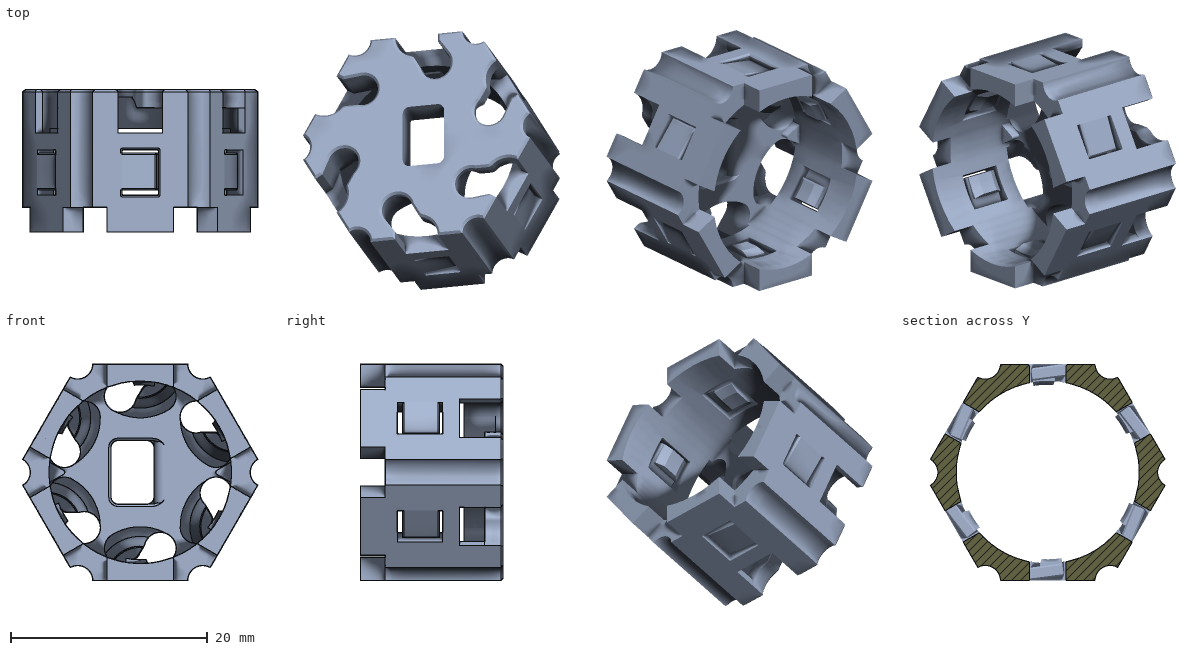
import cadquery as cq
import math

length = 14.5
across_flats = 22.0
scallop_diameter = 3.04
bore_radius = 9.27
floor_thickness = 4.0
edge_chamfer = 0.25
sides = 6
apothem = across_flats / 2
corner_radius = apothem / math.cos(math.pi / sides)
floor_y = length - floor_thickness
margin = 1.2

tooth_height = 2.5
tooth_width = 6.76

slot_half = 2.25
slot_start_y = length - 4.42
pocket_radius = 5.47
pocket_angle = 31.7
ledge_depth = 0.8
tongue_depth = 1.9
tongue_radius = 3.45
tongue_base_radius = 4.5
tongue_edge_offset = 1.53
tongue_slope = 60
cavity_lip_z = 10.15
lip_fillet = 0.72
tongue_chamfer = 0.07
path_radius = (pocket_radius + slot_half) / 2
pocket_end_radius = (pocket_radius - slot_half) / 2

window_half = 1.85
window_start_y = 3.75
window_end_y = 8.36
window_chamfer = 0.2
window_corner = 0.1
tab_start_y = 4.28
tab_end_y = 8.05
tab_length = 3.54
tab_thickness = 1.27
tab_tilt = 7.6
tab_chamfer = 0.17
catch_radius = 8.87
catch_start = -0.76
catch_slope_run = 0.17
catch_back_ramp = 0.72
catch_front_ramp = 0.95
catch_root = 0.48
hinge_overlap = 0.25

hole_left = -2.96
hole_right = 1.39
hole_half_height = 3.23
hole_corner = 0.72
hole_chamfer = 0.25
hole_rounding = 1.03
hole_flare_corner = 1.22

gusset_height = 1.0
gusset_tip_x = 7.43
gusset_tip_fillet = 0.25
gusset_slope = 30
gusset_overlap = 0.25


def section(y):
    """Workplane across the axis at y, with local x = X and local y = Z."""
    return cq.Workplane("XZ", origin=(0, y, 0))


def around(shape, turn):
    return shape.rotate((0, 0, 0), (0, 1, 0), 360 / sides * turn)


def ring():
    body = section(0).polygon(sides, 2 * corner_radius).extrude(-length)
    grooves = section(0).polarArray(corner_radius, 0, 360, sides).circle(scallop_diameter / 2).extrude(-length)
    bore = section(0).circle(bore_radius).extrude(-floor_y)
    body = body.cut(grooves).cut(bore)
    tooth = section(0).center(0, apothem / 2).rect(tooth_width, apothem).extrude(-tooth_height)
    gaps = section(0).circle(corner_radius).extrude(-tooth_height)
    for turn in range(sides):
        gaps = gaps.cut(around(tooth, turn))
    return body.cut(gaps)


def polar(radius, angle):
    """Point at a radius from the pocket axis, angle measured from straight inward."""
    swing = math.radians(angle)
    return (radius * math.sin(swing), apothem - radius * math.cos(swing))


def cavity_flank():
    """Point where the -X flank, falling from the slot wall, is tangent to the pocket's round end."""
    centre = polar(path_radius, -pocket_angle)
    across = -slot_half - centre[0]
    up = cavity_lip_z - centre[1]
    angle = math.atan2(up, across) + math.acos(pocket_end_radius / math.hypot(across, up))
    return (centre[0] + pocket_end_radius * math.cos(angle), centre[1] + pocket_end_radius * math.sin(angle))


def keyhole():
    """Opening through the web: round entry, straight tongue edge, round notch at the face."""
    slope = math.radians(tongue_slope)
    entry = polar(path_radius, -pocket_angle)
    foot = (
        entry[0] + tongue_edge_offset * math.sin(slope),
        entry[1] - tongue_edge_offset * math.cos(slope),
    )
    rise = apothem - foot[1]
    along = foot[0] * math.cos(slope) - rise * math.sin(slope)
    travel = -along - math.sqrt(along**2 - foot[0] ** 2 - rise**2 + slot_half**2)
    lip = (foot[0] + travel * math.cos(slope), foot[1] + travel * math.sin(slope))
    depth = length - floor_y
    flank = cavity_flank()
    throat = (
        section(floor_y)
        .polyline([entry, foot, lip, (0, apothem), (-slot_half, apothem), (-slot_half, cavity_lip_z), flank])
        .close()
        .extrude(-depth)
    )
    notch = section(floor_y).center(0, apothem).circle(slot_half).extrude(-depth)
    hole = section(floor_y).center(*entry).circle(pocket_end_radius).extrude(-depth)
    opening = throat.union(notch)
    opening = opening.edges(cq.selectors.NearestToPointSelector((lip[0], floor_y + depth / 2, lip[1])))
    return opening.fillet(lip_fillet).union(hole)


def locking_tongue(opening):
    """Raised disc with a conical skirt, left standing around the opening."""
    disc = (
        cq.Workplane("XY")
        .polyline([
            (0, length),
            (0, length - tongue_depth),
            (tongue_radius, length - tongue_depth),
            (tongue_base_radius, length - ledge_depth),
            (tongue_base_radius, length),
        ])
        .close()
        .revolve(360, (0, 0, 0), (0, 1, 0))
        .translate((0, 0, apothem))
    )
    return disc.cut(opening).faces("<Y").edges().chamfer(tongue_chamfer)


def lock_pocket():
    """Everything removed at the +Z face for one twist lock."""
    opening = keyhole()
    tongue = locking_tongue(opening)
    depth = floor_thickness - ledge_depth
    left_end = polar(pocket_radius, -pocket_angle)
    right_end = polar(pocket_radius, pocket_angle)
    cavity = (
        section(floor_y)
        .moveTo(*left_end)
        .threePointArc(polar(pocket_radius, 0), right_end)
        .lineTo(*polar(slot_half, pocket_angle))
        .threePointArc(polar(slot_half, 0), polar(slot_half, -pocket_angle))
        .close()
        .extrude(-depth)
    )
    for angle in (-pocket_angle, pocket_angle):
        end = section(floor_y).center(*polar(path_radius, angle)).circle(pocket_end_radius).extrude(-depth)
        cavity = cavity.union(end)
    flank = cavity_flank()
    mouth = (
        section(slot_start_y)
        .polyline([flank, (-slot_half, cavity_lip_z), (slot_half, cavity_lip_z), (-flank[0], flank[1])])
        .close()
        .extrude(slot_start_y - (length - tongue_depth))
    )
    slot_top = apothem + margin
    slot_bottom = bore_radius - margin
    slot = (
        section(slot_start_y)
        .center(0, (slot_top + slot_bottom) / 2)
        .rect(2 * slot_half, slot_top - slot_bottom)
        .extrude(slot_start_y - (length - tongue_depth))
    )
    return cavity.union(mouth).cut(tongue).union(slot).union(opening)


def window():
    bottom = bore_radius - margin
    return (
        cq.Workplane("XY", origin=(0, (window_start_y + window_end_y) / 2, bottom))
        .rect(2 * window_half, window_end_y - window_start_y)
        .extrude(apothem + margin - bottom)
        .edges("|Z")
        .fillet(window_corner)
    )


def window_flare():
    return (
        cq.Workplane("XY", origin=(0, (window_start_y + window_end_y) / 2, apothem - window_chamfer))
        .sketch()
        .rect(2 * window_half, window_end_y - window_start_y)
        .vertices()
        .fillet(window_corner)
        .finalize()
        .extrude(window_chamfer, taper=-45)
    )


def spring_tab():
    """Tab hinged on the -X side of the +Z window, with a ramped catch reaching into the bore."""
    width = tab_end_y - tab_start_y
    arm = (
        cq.Workplane("XY")
        .box(tab_length, width, tab_thickness, centered=False)
        .faces("<Z or >Z")
        .edges("|X")
        .chamfer(tab_chamfer)
        .faces(">Z")
        .edges(">X")
        .chamfer(tab_chamfer)
    )
    place = (-window_half, tab_start_y, apothem)
    sunk = (0, 0, -tab_thickness)
    arm = arm.translate(sunk).rotate((0, 0, 0), (0, 1, 0), tab_tilt).translate(place)

    outer = bore_radius + catch_root
    low_y = tab_start_y + tab_chamfer
    high_y = tab_end_y - tab_chamfer
    band = (
        cq.Workplane("XY")
        .polyline([
            (outer, low_y),
            (bore_radius, low_y),
            (catch_radius, low_y + catch_front_ramp),
            (catch_radius, high_y - catch_back_ramp),
            (bore_radius, high_y),
            (outer, high_y),
        ])
        .close()
        .revolve(360, (0, 0, 0), (0, 1, 0))
    )
    tilt = math.radians(tab_tilt)
    tip_x = tab_length * math.cos(tilt) - window_half
    tip_z = apothem - tab_length * math.sin(tilt)
    reach = tip_z - catch_radius + margin
    catch_limits = (
        section(tab_start_y)
        .polyline([
            (catch_start, apothem - tab_thickness / 2),
            (catch_start, bore_radius),
            (catch_start + catch_slope_run, catch_radius),
            (catch_start + catch_slope_run, catch_radius - margin),
            (tip_x - reach * math.tan(tilt), tip_z - reach),
            (tip_x - tab_thickness / 2 * math.tan(tilt), tip_z - tab_thickness / 2),
        ])
        .close()
        .extrude(-width)
    )
    root = (
        section(tab_start_y)
        .polyline([
            (-window_half - hinge_overlap, apothem),
            (-window_half, apothem),
            (-window_half, apothem - tab_thickness),
            (-window_half - hinge_overlap, apothem - tab_thickness),
        ])
        .close()
        .extrude(-width)
    )
    return arm.union(root).union(band.intersect(catch_limits))


def floor_hole():
    width = hole_right - hole_left
    centre_x = (hole_right + hole_left) / 2
    height = 2 * hole_half_height
    hole = section(floor_y).center(centre_x, 0).rect(width, height).extrude(-floor_thickness)
    hole = hole.edges("|Y").fillet(hole_corner)
    bevel = (
        section(floor_y + hole_chamfer)
        .center(centre_x, 0)
        .sketch()
        .rect(width, height)
        .vertices()
        .fillet(hole_corner)
        .finalize()
        .extrude(hole_chamfer, taper=-45)
    )
    flare_half = hole_half_height + hole_chamfer
    rounding = (
        cq.Workplane("XY", origin=(0, 0, -flare_half))
        .moveTo(hole_right + hole_rounding, floor_y)
        .radiusArc((hole_right, floor_y + hole_rounding), hole_rounding)
        .lineTo(centre_x, floor_y + hole_rounding)
        .lineTo(centre_x, floor_y)
        .close()
        .extrude(2 * flare_half)
    )
    outline = (
        cq.Sketch()
        .rect(width, height)
        .vertices(">X")
        .fillet(hole_flare_corner)
        .moved(cq.Location(cq.Vector(hole_right + hole_rounding - width / 2, 0)))
    )
    flare = section(floor_y).placeSketch(outline).extrude(-hole_rounding)
    flare_bevel = section(floor_y + hole_chamfer).placeSketch(outline).extrude(hole_chamfer, taper=-45)
    return hole.union(bevel).union(rounding.intersect(flare.union(flare_bevel)))


def gusset():
    back_x = bore_radius + gusset_overlap
    half = (back_x - gusset_tip_x) * math.tan(math.radians(gusset_slope))
    return (
        section(floor_y - gusset_height)
        .polyline([(gusset_tip_x, 0), (back_x, half), (back_x, -half)])
        .close()
        .extrude(-gusset_height)
        .edges("|Y and <X")
        .fillet(gusset_tip_fillet)
    )


result = ring()
pocket = lock_pocket()
for turn in range(sides):
    result = result.cut(around(pocket, turn))
back_rim = result.faces(">Y").wires().vals()[0]
result = result.newObject(back_rim.Edges()).chamfer(edge_chamfer)

result = result.cut(floor_hole())
result = result.cut(window_flare())
for turn in range(sides):
    result = result.cut(around(window(), turn)).union(around(spring_tab(), turn))
for side in (0, sides // 2):
    result = result.union(around(gusset(), side))